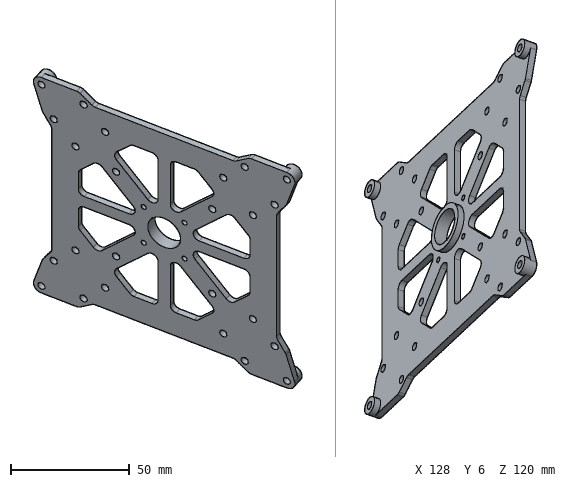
import cadquery as cq
import math

length = 128.0
height = 120.0
depth = 6.0
plate_thickness = depth / 2

body_half = 55.0
ramp_inner = 34.5
ramp_outer_top = 41.9
ramp_outer_side = 41.2
knee_radius = 3.0

corner_radius = 4.0
corner_x = length / 2 - corner_radius
corner_z = height / 2 - corner_radius
hub_diameter = 21.2
bore_diameter = 16.0

straight_spoke = 6.0
diagonal_spoke = 10.0
window_outer = 42.0
window_diagonal = 41.0
window_radius = 3.0

screw_diameter = 3.5
hub_screw_diameter = 2.4
lug_hole_far = 54.0
lug_hole_near = 39.4
frame_hole_far = 43.4
frame_hole_near = 28.9
spoke_hole = 23.5
hub_hole = 10.0


def front_plane(y=0.0):
    """Sketch plane facing -Y, with X to the right and Z up."""
    return cq.Workplane("XZ", origin=(0, y, 0))


def extrude_back(sketch, distance):
    """Extrude a front-plane sketch toward +Y."""
    return sketch.extrude(-distance)


def on_corner_boss(angle):
    """Point on the corner boss rim, with the angle in radians from +X toward +Z."""
    return (corner_x + corner_radius * math.cos(angle), corner_z + corner_radius * math.sin(angle))


def make_quarter_plate():
    """Quarter of the plate with X and Z positive, without its openings."""
    top = height / 2
    ramp_slope = (top - body_half) / (ramp_outer_top - ramp_inner)
    side_x = body_half + ramp_slope * (ramp_outer_side - ramp_inner)

    to_boss_x = corner_x - side_x
    to_boss_z = corner_z - ramp_outer_side
    boss_distance = math.hypot(to_boss_x, to_boss_z)
    slant = math.atan2(to_boss_x, to_boss_z) + math.asin(corner_radius / boss_distance)
    tangent_angle = -slant
    top_angle = math.pi / 2

    outline = (
        front_plane()
        .lineTo(body_half, 0)
        .lineTo(body_half, ramp_inner)
        .lineTo(side_x, ramp_outer_side)
        .lineTo(*on_corner_boss(tangent_angle))
        .threePointArc(on_corner_boss((tangent_angle + top_angle) / 2), on_corner_boss(top_angle))
        .lineTo(ramp_outer_top, top)
        .lineTo(ramp_inner, body_half)
        .lineTo(0, body_half)
        .close()
    )
    plate = extrude_back(outline, plate_thickness)

    knees = [
        (body_half, ramp_inner),
        (side_x, ramp_outer_side),
        (ramp_outer_top, top),
        (ramp_inner, body_half),
    ]
    for x, z in knees:
        knee_edge = cq.NearestToPointSelector((x, plate_thickness / 2, z))
        plate = plate.edges("|Y").edges(knee_edge).fillet(knee_radius)
    return plate


def make_window():
    """Window between the upright and diagonal spokes."""
    inner_x = straight_spoke / 2
    diagonal_rise = diagonal_spoke / math.sqrt(2)
    diagonal_sum = window_diagonal * math.sqrt(2)
    points = [
        (inner_x, inner_x + diagonal_rise),
        ((diagonal_sum - diagonal_rise) / 2, (diagonal_sum + diagonal_rise) / 2),
        (diagonal_sum - window_outer, window_outer),
        (inner_x, window_outer),
    ]
    window = extrude_back(front_plane().polyline(points).close(), plate_thickness)
    return window.edges("|Y").fillet(window_radius)


def cut_windows(quarter):
    window = make_window()
    twin = window.mirror("YZ").rotate((0, 0, 0), (0, 1, 0), 90)
    return quarter.cut(window).cut(twin)


def add_boss(body, centre, diameter):
    boss = front_plane(plate_thickness).center(*centre).circle(diameter / 2)
    return body.union(extrude_back(boss, depth - plate_thickness))


def drill(body, points, diameter):
    holes = front_plane().pushPoints(points).circle(diameter / 2)
    return body.cut(extrude_back(holes, depth))


screw_holes = [
    (corner_x, corner_z),
    (lug_hole_far, lug_hole_near),
    (lug_hole_near, lug_hole_far),
    (frame_hole_far, frame_hole_near),
    (frame_hole_near, frame_hole_far),
    (spoke_hole, spoke_hole),
]

quarter = cut_windows(make_quarter_plate())
quarter = add_boss(quarter, (corner_x, corner_z), 2 * corner_radius)
quarter = drill(quarter, screw_holes, screw_diameter)
quarter = drill(quarter, [(hub_hole, hub_hole)], hub_screw_diameter)

half = quarter.union(quarter.mirror("YZ"))
result = half.union(half.mirror("XY"))
result = add_boss(result, (0, 0), hub_diameter)
result = drill(result, [(0, 0)], bore_diameter)